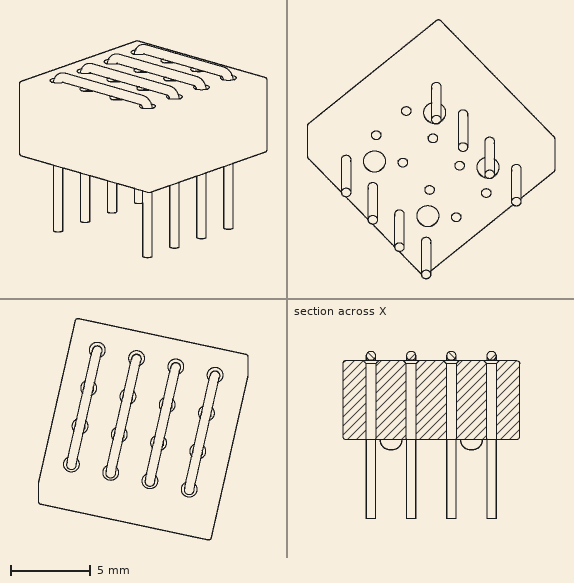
import cadquery as cq

housing_width = 11.2
housing_height = 5.0
edge_radius = 0.2

pitch = 2.54
grid_count = 4
grid_places = [(i - (grid_count - 1) / 2) * pitch for i in range(grid_count)]

wire_diameter = 0.6
wire_radius = wire_diameter / 2
bend_radius = 0.5
pin_length = 5.0
leg_x = grid_places[-1]
wire_axis_z = housing_height + wire_radius

countersink_diameter = 1.0
countersink_angle = 90.0

standoff_diameter = 1.4
standoff_height = 0.65
standoff_rounding = 0.64
standoff_spacing = 2 * pitch


def make_wire(y):
    """One wire: a straight span with both ends bent down into pins."""
    leg_top_z = wire_axis_z - bend_radius
    span_end_x = leg_x - bend_radius
    bend_mid_shift = bend_radius * (1 - 0.5 ** 0.5)
    bend_mid_x = leg_x - bend_mid_shift
    bend_mid_z = wire_axis_z - bend_mid_shift
    path = (
        cq.Workplane("XZ", origin=(0, y, 0))
        .moveTo(-leg_x, -pin_length)
        .lineTo(-leg_x, leg_top_z)
        .threePointArc((-bend_mid_x, bend_mid_z), (-span_end_x, wire_axis_z))
        .lineTo(span_end_x, wire_axis_z)
        .threePointArc((bend_mid_x, bend_mid_z), (leg_x, leg_top_z))
        .lineTo(leg_x, -pin_length)
    )
    section = cq.Workplane("XY", origin=(-leg_x, y, -pin_length)).circle(wire_radius)
    return section.sweep(path)


def make_housing():
    """Rounded block with standoffs below and the grid of countersunk holes."""
    block = (
        cq.Workplane("XY")
        .box(housing_width, housing_width, housing_height, centered=(True, True, False))
        .edges()
        .fillet(edge_radius)
    )

    standoffs = (
        cq.Workplane("XY")
        .rarray(standoff_spacing, standoff_spacing, 2, 2)
        .circle(standoff_diameter / 2)
        .extrude(-standoff_height)
        .faces("<Z")
        .edges()
        .fillet(standoff_rounding)
    )
    block = block.union(standoffs)

    return (
        block.faces(">Z")
        .workplane(origin=(0, 0, housing_height))
        .rarray(pitch, pitch, grid_count, grid_count)
        .cskHole(wire_diameter, countersink_diameter, countersink_angle)
    )


wires = [make_wire(y) for y in grid_places]
housing = make_housing()

result = cq.Compound.makeCompound([housing.val(), *[wire.val() for wire in wires]])